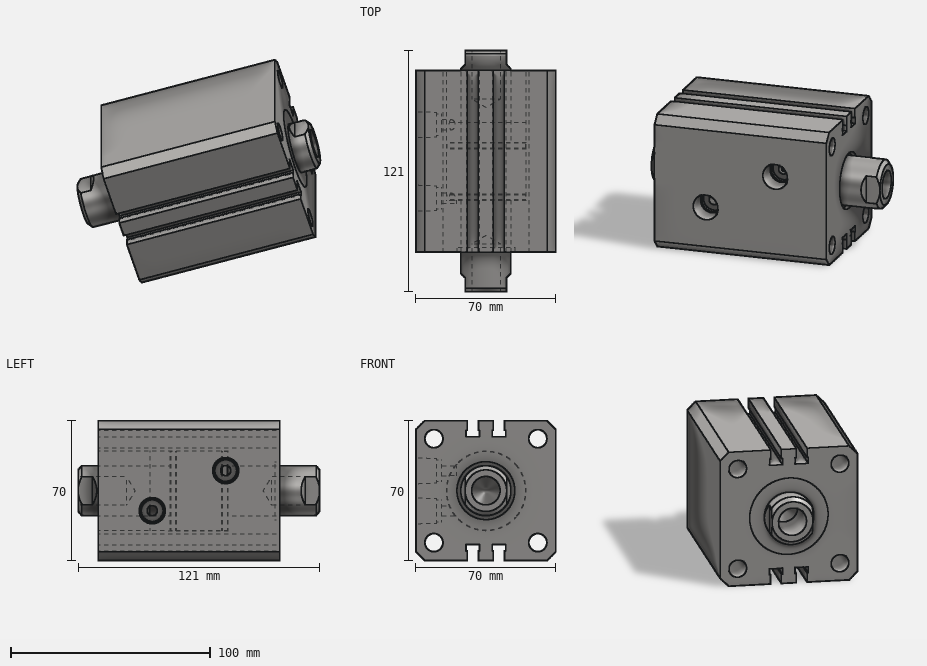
import cadquery as cq
import math


width = 70.0
length = 91.0
front_y = -40.5
rear_y = front_y + length
middle_y = (front_y + rear_y) / 2
corner_chamfer = 4.4

bolt_radius = 4.5
bolt_offset = 26.0

slot_offset = 6.5
slot_mouth_width = 5.5
slot_inner_width = 6.7
slot_mouth_depth = 4.8
slot_depth = 8.0

bore_radius = 20.0
chamber_length = 39.1
chamber_front_y = middle_y - chamber_length / 2
chamber_rear_y = middle_y + chamber_length / 2
recess_radius = 14.5
recess_depth = 2.5

port_distance = 18.4
port_rise = 10.0
port_mouth_radius = 6.5
port_bottom_radius = 6.2
port_thread_depth = 10.3
port_pilot_radius = 5.5
port_pilot_depth = 12.7
port_passage_radius = 2.5
port_passage_depth = 20.1

rod_length = 121.0
rod_radius = 12.6
rod_end_radius = 10.4
rod_bevel_radius = 12.5
rod_bevel_length = 1.8
rod_taper_length = 2.5
piston_length = 29.0

groove_floor_width = 2.4
groove_depth = 0.2
groove_wall_length = 0.5
groove_from_end = 1.6

flat_half_distance = 10.4
flat_length = 7.1

drill_radius = 7.1
drill_depth = 24.2
drill_point_angle = 118.0


def cylinder_along_y(radius, start, end):
    return cq.Workplane("XZ", origin=(0, start, 0)).circle(radius).extrude(start - end)


def turned_about_y(points):
    """Solid of revolution from (radius, y) points."""
    return cq.Workplane("XY").polyline(points).close().revolve(360, (0, 0, 0), (0, 1, 0))


def turned_about_x(points):
    """Solid of revolution from (x, radius) points."""
    return cq.Workplane("XY").polyline(points).close().revolve(360, (0, 0, 0), (1, 0, 0))


def make_t_slot(x, side):
    """Cutter for one slot; side is +1 for the top face and -1 for the bottom face."""
    face_z = width / 2
    inner_height = slot_depth - slot_mouth_depth
    mouth = cq.Workplane("XY").box(slot_mouth_width, length, slot_mouth_depth)
    inner = cq.Workplane("XY").box(slot_inner_width, length, inner_height)
    mouth = mouth.translate((x, middle_y, side * (face_z - slot_mouth_depth / 2)))
    inner = inner.translate((x, middle_y, side * (face_z - slot_depth + inner_height / 2)))
    return mouth.union(inner)


def make_port(y, z):
    """Cutter for one stepped air port."""
    face_x = -width / 2
    thread_end_x = face_x + port_thread_depth
    pilot_end_x = face_x + port_pilot_depth
    passage_end_x = face_x + port_passage_depth
    port = turned_about_x([
        (face_x, 0),
        (face_x, port_mouth_radius),
        (thread_end_x, port_bottom_radius),
        (thread_end_x, port_pilot_radius),
        (pilot_end_x, port_pilot_radius),
        (pilot_end_x, port_passage_radius),
        (passage_end_x, port_passage_radius),
        (passage_end_x, 0),
    ])
    return port.translate((0, y, z))


def make_housing():
    body = cq.Workplane("XZ", origin=(0, front_y, 0)).rect(width, width).extrude(-length)
    body = body.edges("|Y").chamfer(corner_chamfer)

    for x in (-bolt_offset, bolt_offset):
        for z in (-bolt_offset, bolt_offset):
            body = body.cut(cylinder_along_y(bolt_radius, front_y, rear_y).translate((x, 0, z)))

    for side in (-1, 1):
        for x in (-slot_offset, slot_offset):
            body = body.cut(make_t_slot(x, side))

    body = body.cut(cylinder_along_y(bore_radius, chamber_front_y, rear_y))
    body = body.cut(cylinder_along_y(rod_radius, front_y, chamber_front_y))
    body = body.cut(cylinder_along_y(recess_radius, front_y, front_y + recess_depth))

    body = body.cut(make_port(middle_y - port_distance, port_rise))
    body = body.cut(make_port(middle_y + port_distance, -port_rise))
    return body


def make_cover():
    """Rear head: a plain bush that fills the bore behind the chamber."""
    cover = cylinder_along_y(bore_radius, chamber_rear_y, rear_y)
    return cover.cut(cylinder_along_y(rod_radius, chamber_rear_y, rear_y))


def make_piston_groove():
    """Ring cutter for the groove near the -Y end of the piston."""
    floor_radius = bore_radius - groove_depth
    groove_y = -piston_length / 2 + groove_from_end
    half_floor = groove_floor_width / 2
    outer_radius = floor_radius + 2 * groove_depth
    half_outside = half_floor + 2 * groove_wall_length
    return turned_about_y([
        (floor_radius, groove_y - half_floor),
        (outer_radius, groove_y - half_outside),
        (outer_radius, groove_y + half_outside),
        (floor_radius, groove_y + half_floor),
    ])


def make_flat(side):
    """Cutter for one wrench flat at the -Y rod end; side is +1 or -1 along X."""
    end_y = -rod_length / 2
    flat_end_y = end_y + flat_length
    run_out = rod_radius - flat_half_distance
    outline = [
        (side * flat_half_distance, end_y),
        (side * flat_half_distance, flat_end_y),
        (side * rod_radius, flat_end_y + run_out),
        (side * rod_radius, end_y),
    ]
    return cq.Workplane("XY").polyline(outline).close().extrude(rod_radius, both=True)


def make_drilling():
    """Cutter for the pointed hole in the -Y rod end."""
    end_y = -rod_length / 2
    point_length = drill_radius / math.tan(math.radians(drill_point_angle / 2))
    return turned_about_y([
        (0, end_y),
        (drill_radius, end_y),
        (drill_radius, end_y + drill_depth),
        (0, end_y + drill_depth + point_length),
    ])


def make_rod():
    """Through rod with its piston, alike at both ends."""
    half = rod_length / 2
    rod = turned_about_y([
        (0, -half),
        (rod_end_radius, -half),
        (rod_bevel_radius, -half + rod_bevel_length),
        (rod_radius, -half + rod_taper_length),
        (rod_radius, half - rod_taper_length),
        (rod_bevel_radius, half - rod_bevel_length),
        (rod_end_radius, half),
        (0, half),
    ])
    rod = rod.union(cylinder_along_y(bore_radius, -piston_length / 2, piston_length / 2))

    end_cutters = [make_piston_groove(), make_flat(1), make_flat(-1), make_drilling()]
    for cutter in end_cutters:
        rod = rod.cut(cutter).cut(cutter.mirror("XZ"))
    return rod


housing = make_housing()
cover = make_cover()
rod = make_rod()

result = cq.Compound.makeCompound([housing.val(), cover.val(), rod.val()])